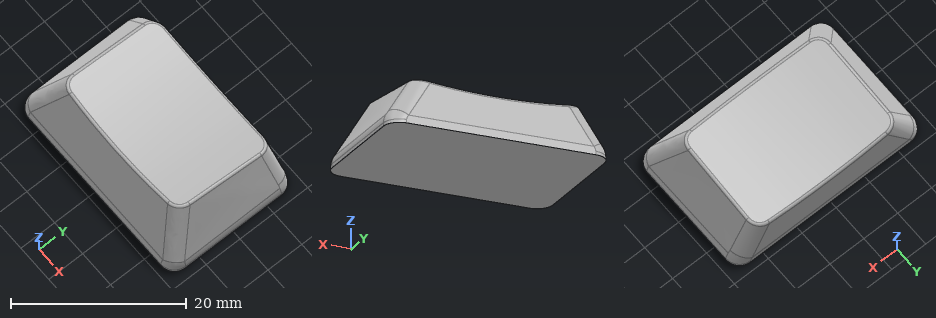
import cadquery as cq

width = 27.69
depth = 18.16

skirt_height = 1.0

top_width = 20.45
top_depth = 13.78
top_center_y = 1.705
top_center_height = 7.31

dish_radius = 77.0
dish_center_height = 6.36
top_tilt = 6.7

body_radius = 2.0
rim_radius = 0.4

level_tolerance = 0.001


def make_sharp_body():
    """Straight skirt with ruled walls rising from it to a tilted rectangle."""
    skirt = cq.Workplane("XY").rect(width, depth).extrude(skirt_height)
    walls = (
        cq.Workplane("XY", origin=(0, 0, skirt_height))
        .rect(width, depth)
        .transformed(
            offset=(0, top_center_y, top_center_height - skirt_height),
            rotate=(-top_tilt, 0, 0),
        )
        .rect(top_width, top_depth)
        .loft(ruled=True)
    )
    return skirt.union(walls)


def is_outer_edge(edge):
    """True for the corner edges and the bend line, false for the base and top outlines."""
    box = edge.BoundingBox()
    on_base = box.zmax < level_tolerance
    on_top = box.zmin > skirt_height + level_tolerance
    return not on_base and not on_top


def round_outer_edges(body):
    """Round the corners and the bend together so that they blend at each corner."""
    outer_edges = [edge for edge in body.edges().vals() if is_outer_edge(edge)]
    return body.newObject(outer_edges).fillet(body_radius)


def make_dish_cutter():
    """Large tilted cylinder whose lowest line is the bottom of the dish."""
    return (
        cq.Workplane("XZ", origin=(0, 0, dish_radius))
        .circle(dish_radius)
        .extrude(depth, both=True)
        .rotate((0, 0, 0), (1, 0, 0), -top_tilt)
        .translate((0, 0, dish_center_height))
    )


def cut_dish(body):
    """Cut the dished top and soften its rim."""
    dished = body.cut(make_dish_cutter())
    return dished.faces(">Z").edges().fillet(rim_radius)


result = cut_dish(round_outer_edges(make_sharp_body()))